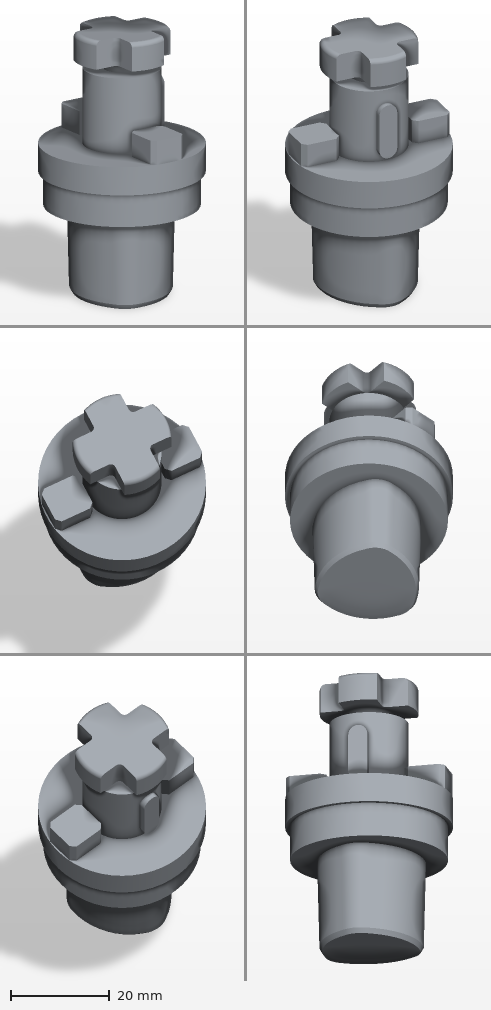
import cadquery as cq
import math

SHANK_CHAMFER_TOP = 1.0
SHANK_TOP = 19.0
LOWER_FLANGE_TOP = 26.0
UPPER_FLANGE_TOP = 32.0
DRIVE_KEY_TOP = 37.0
PILOT_TOP = 48.0
HEAD_BOTTOM = 50.0
HEAD_TOP = 56.0

LOWER_FLANGE_DIAMETER = 32.0
UPPER_FLANGE_DIAMETER = 34.0
PILOT_DIAMETER = 16.0
NECK_DIAMETER = 8.0
HEAD_DIAMETER = 20.0

LOBE_TIP_RADIUS = 11.75
LOBE_JOINT_RADIUS = 11.3
FLANK_MIDDLE_RADIUS = 10.35
LOBE_HALF_ANGLE = 14.5
LOBE_COUNT = 3
FIRST_LOBE_ANGLE = 90
SHANK_TAPER = 0.45
SHANK_CHAMFER_WIDTH = 0.6

CROSS_ARM_WIDTH = 8.0
EDGE_SIZE = 1.0
DRIVE_KEY_WIDTH = 8.0
DRIVE_KEY_INNER = 8.2
DRIVE_KEY_OUTER = 16.65

FEATHER_KEY_WIDTH = 4.0
FEATHER_KEY_LENGTH = 12.0
FEATHER_KEY_BOTTOM = 33.0
FEATHER_KEY_OUTER = 9.2


def cylinder(diameter, bottom, top):
    return cq.Workplane("XY").workplane(offset=bottom).circle(diameter / 2).extrude(top - bottom)


def polar(radius, degrees):
    angle = math.radians(degrees)
    return radius * math.cos(angle), radius * math.sin(angle)


def shank_outline(inset, height):
    """Closed outline of alternating lobe and flank arcs."""
    pitch = 360 / LOBE_COUNT
    tip = LOBE_TIP_RADIUS - inset
    joint = LOBE_JOINT_RADIUS - inset
    flank = FLANK_MIDDLE_RADIUS - inset
    outline = cq.Workplane("XY").workplane(offset=height)
    outline = outline.moveTo(*polar(joint, FIRST_LOBE_ANGLE - LOBE_HALF_ANGLE))
    for index in range(LOBE_COUNT):
        lobe = FIRST_LOBE_ANGLE + index * pitch
        outline = outline.threePointArc(polar(tip, lobe), polar(joint, lobe + LOBE_HALF_ANGLE))
        next_joint = polar(joint, lobe + pitch - LOBE_HALF_ANGLE)
        outline = outline.threePointArc(polar(flank, lobe + pitch / 2), next_joint)
    return outline.close().val()


def shank_section(bottom_inset, bottom, top_inset, top):
    outlines = [shank_outline(bottom_inset, bottom), shank_outline(top_inset, top)]
    return cq.Workplane(cq.Solid.makeLoft(outlines, True))


def make_shank():
    chamfer = shank_section(SHANK_TAPER + SHANK_CHAMFER_WIDTH, 0, SHANK_TAPER, SHANK_CHAMFER_TOP)
    return chamfer.union(shank_section(SHANK_TAPER, SHANK_CHAMFER_TOP, 0, SHANK_TOP))


def make_head():
    """Cross-shaped head: a disc with a rounded rim, trimmed to four arms."""
    height = HEAD_TOP - HEAD_BOTTOM
    plane = cq.Workplane("XY").workplane(offset=HEAD_BOTTOM)
    disc = cylinder(HEAD_DIAMETER, HEAD_BOTTOM, HEAD_TOP).faces(">Z").edges().fillet(EDGE_SIZE)
    arm_x = plane.rect(HEAD_DIAMETER, CROSS_ARM_WIDTH).extrude(height)
    arm_y = plane.rect(CROSS_ARM_WIDTH, HEAD_DIAMETER).extrude(height)
    inner_corners = cq.selectors.BoxSelector(
        (-CROSS_ARM_WIDTH, -CROSS_ARM_WIDTH, HEAD_BOTTOM),
        (CROSS_ARM_WIDTH, CROSS_ARM_WIDTH, HEAD_TOP),
    )
    cross = arm_x.union(arm_y).edges("|Z").edges(inner_corners).fillet(EDGE_SIZE)
    return disc.intersect(cross)


def make_neck():
    """Short neck that flares into the underside of the head."""
    radius = NECK_DIAMETER / 2
    flare_bottom = HEAD_BOTTOM - EDGE_SIZE
    flare_middle = EDGE_SIZE * math.sqrt(0.5)
    return (
        cq.Workplane("XZ")
        .moveTo(0, PILOT_TOP)
        .lineTo(radius, PILOT_TOP)
        .lineTo(radius, flare_bottom)
        .threePointArc(
            (radius + EDGE_SIZE - flare_middle, flare_bottom + flare_middle),
            (radius + EDGE_SIZE, HEAD_BOTTOM),
        )
        .lineTo(0, HEAD_BOTTOM)
        .close()
        .revolve(360, (0, 0), (0, 1))
    )


def make_drive_key(side):
    return (
        cq.Workplane("XY")
        .workplane(offset=UPPER_FLANGE_TOP)
        .center(side * (DRIVE_KEY_INNER + DRIVE_KEY_OUTER) / 2, 0)
        .rect(DRIVE_KEY_OUTER - DRIVE_KEY_INNER, DRIVE_KEY_WIDTH)
        .extrude(DRIVE_KEY_TOP - UPPER_FLANGE_TOP)
        .edges("|Z")
        .chamfer(EDGE_SIZE)
    )


def make_feather_key():
    return (
        cq.Workplane("XZ")
        .center(0, FEATHER_KEY_BOTTOM + FEATHER_KEY_LENGTH / 2)
        .slot2D(FEATHER_KEY_LENGTH, FEATHER_KEY_WIDTH, 90)
        .extrude(-FEATHER_KEY_OUTER)
    )


result = (
    make_shank()
    .union(cylinder(LOWER_FLANGE_DIAMETER, SHANK_TOP, LOWER_FLANGE_TOP))
    .union(cylinder(UPPER_FLANGE_DIAMETER, LOWER_FLANGE_TOP, UPPER_FLANGE_TOP))
    .union(cylinder(PILOT_DIAMETER, UPPER_FLANGE_TOP, PILOT_TOP))
    .union(make_neck())
    .union(make_head())
    .union(make_feather_key())
)
for key_side in (-1, 1):
    result = result.union(make_drive_key(key_side))